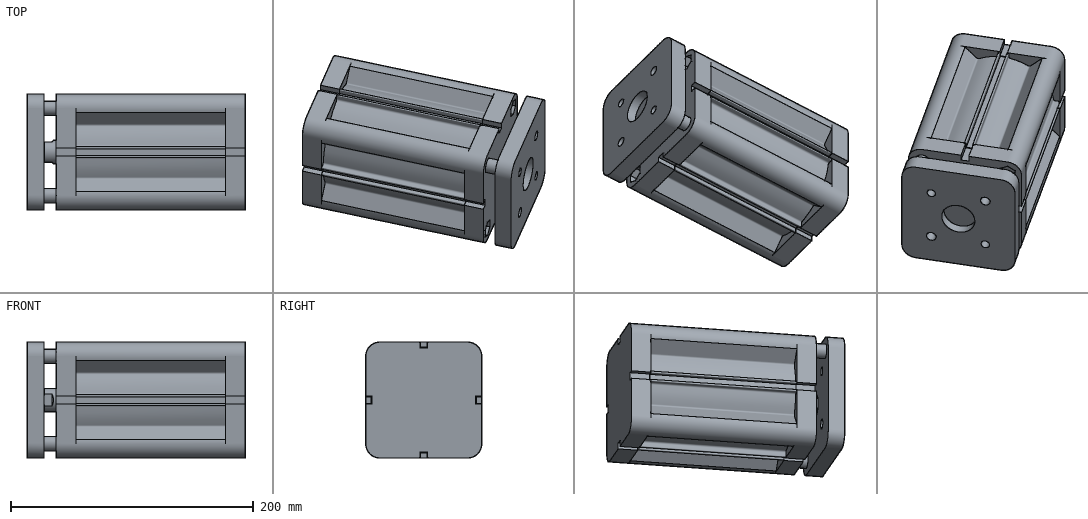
import cadquery as cq
import math

length = 180.5
plate_thickness = 14.0
gap = 10.0
cap_length = 16.5
body_start = plate_thickness + gap
tube_start = body_start + cap_length
tube_end = length - cap_length

side = 96.0
half_side = side / 2
corner_radius = 12.0
corner_offset = half_side - corner_radius

pocket_diameter = 28.0
pocket_depth = 8.1
plate_hole_offset = 23.0
large_hole_diameter = 8.1
small_hole_diameter = 7.0

guide_rod_diameter = 12.1
piston_rod_diameter = 19.5
piston_flat_width = 17.0
piston_flat_length = 6.5
piston_end_chamfer = 0.5
rod_insertion = cap_length

barrel_radius = 42.8
lug_half_width = 10.5
root_fillet = 1.6
rail_half_width = 4.5
rail_top = half_side - 0.5
rail_edge_fillet = 0.4

rail_slot_half_width = 2.7
rail_slot_floor = half_side - 4.3
cap_slot_half_width = 3.2
cap_slot_floor = half_side - 5.0

socket_flats = 13.0
socket_depth = 8.7

tolerance = 0.02

rod_corners = [(1, 1), (-1, -1)]
socket_corners = [(-1, 1), (1, -1)]


def section_at(x):
    """Sketch plane across the X axis, with local axes Y and Z."""
    return cq.Workplane("YZ", origin=(x, 0, 0))


def corner_points(corners, offset):
    return [(y_sign * offset, z_sign * offset) for y_sign, z_sign in corners]


def rounded_block(x, thickness):
    return section_at(x).rect(side, side).extrude(thickness).edges("|X").fillet(corner_radius)


def around_axis(solid):
    """Four copies of a solid, a quarter turn apart about the X axis."""
    return [solid.rotate((0, 0, 0), (1, 0, 0), 90 * turn) for turn in range(4)]


def make_plate():
    plate = rounded_block(0, plate_thickness)
    pocket = section_at(0).circle(pocket_diameter / 2).extrude(pocket_depth)
    small_holes = (
        section_at(0)
        .pushPoints(corner_points(rod_corners, plate_hole_offset))
        .circle(small_hole_diameter / 2)
        .extrude(plate_thickness)
    )
    large_holes = (
        section_at(0)
        .pushPoints(corner_points(socket_corners, plate_hole_offset))
        .circle(large_hole_diameter / 2)
        .extrude(plate_thickness)
    )
    return plate.cut(pocket).cut(small_holes).cut(large_holes)


def make_lug():
    """Diagonal rib with a round outer end that follows the cap corner."""
    arc_centre = corner_offset * math.sqrt(2)
    arc_start = arc_centre + math.sqrt(corner_radius**2 - lug_half_width**2)
    lug = (
        section_at(tube_start)
        .moveTo(0, -lug_half_width)
        .lineTo(arc_start, -lug_half_width)
        .threePointArc((arc_centre + corner_radius, 0), (arc_start, lug_half_width))
        .lineTo(0, lug_half_width)
        .close()
        .extrude(tube_end - tube_start)
    )
    return lug.rotate((0, 0, 0), (1, 0, 0), 45)


def is_root(edge):
    """True for the inner corners where the lugs and the rails meet the barrel."""
    centre = edge.Center()
    on_barrel = abs(math.hypot(centre.y, centre.z) - barrel_radius) < tolerance
    return on_barrel and min(abs(centre.y), abs(centre.z)) > tolerance


def is_rail_edge(edge):
    """True for the edges of the rail lips."""
    centre = edge.Center()
    at_rail_top = abs(max(abs(centre.y), abs(centre.z)) - rail_top) < tolerance
    return at_rail_top and min(abs(centre.y), abs(centre.z)) < rail_half_width + tolerance


def fillet_where(solid, test, radius):
    lengthwise_edges = [edge for edge in solid.edges("|X").vals() if test(edge)]
    return solid.newObject(lengthwise_edges).fillet(radius)


def upper_bar(x_start, x_end, half_width, z_bottom, z_top):
    """Bar along X between two heights, centred on Y = 0."""
    return (
        section_at(x_start)
        .center(0, (z_bottom + z_top) / 2)
        .rect(2 * half_width, z_top - z_bottom)
        .extrude(x_end - x_start)
    )


def make_tube():
    tube = section_at(tube_start).circle(barrel_radius).extrude(tube_end - tube_start)
    for lug in around_axis(make_lug()):
        tube = tube.union(lug)
    rail = upper_bar(tube_start, tube_end, rail_half_width, 0, rail_top)
    for rail_copy in around_axis(rail):
        tube = tube.union(rail_copy)
    tube = fillet_where(tube, is_root, root_fillet)

    slot = upper_bar(tube_start, tube_end, rail_slot_half_width, rail_slot_floor, half_side)
    for slot_copy in around_axis(slot):
        tube = tube.cut(slot_copy)
    tube = fillet_where(tube, is_rail_edge, rail_edge_fillet)
    return tube


def make_cap(x_start):
    cap = rounded_block(x_start, cap_length)
    slot = upper_bar(x_start, x_start + cap_length, cap_slot_half_width, cap_slot_floor, half_side)
    for slot_copy in around_axis(slot):
        cap = cap.cut(slot_copy)
    return cap


def make_hex_socket(y, z):
    """Hexagonal recess with two of its flats facing Y."""
    socket = (
        section_at(body_start)
        .polygon(6, socket_flats / math.cos(math.pi / 6))
        .extrude(socket_depth)
    )
    return socket.rotate((0, 0, 0), (1, 0, 0), 90).translate((0, y, z))


def make_housing():
    """Ribbed tube with a cap at each end, all one solid."""
    housing = make_tube().union(make_cap(body_start)).union(make_cap(tube_end))
    for y, z in corner_points(socket_corners, corner_offset):
        housing = housing.cut(make_hex_socket(y, z))
    return housing


def make_guide_rod(y, z):
    rod_length = gap + rod_insertion
    return section_at(plate_thickness).center(y, z).circle(guide_rod_diameter / 2).extrude(rod_length)


def make_piston_rod():
    rod = (
        section_at(plate_thickness)
        .circle(piston_rod_diameter / 2)
        .extrude(gap + rod_insertion)
        .faces("<X")
        .chamfer(piston_end_chamfer)
    )
    rise = (piston_rod_diameter - piston_flat_width) / 2
    flat_end = plate_thickness + piston_flat_length
    flat = (
        cq.Workplane("XY")
        .polyline([
            (plate_thickness, piston_flat_width / 2),
            (flat_end, piston_flat_width / 2),
            (flat_end + rise, piston_rod_diameter / 2),
            (plate_thickness, piston_rod_diameter / 2),
        ])
        .close()
        .extrude(piston_rod_diameter / 2, both=True)
    )
    return rod.cut(flat).cut(flat.mirror("XZ"))


plate = make_plate()
piston_rod = make_piston_rod()
guide_rods = [make_guide_rod(y, z) for y, z in corner_points(rod_corners, corner_offset)]

housing = make_housing().cut(piston_rod)
for guide_rod in guide_rods:
    housing = housing.cut(guide_rod)

result = cq.Compound.makeCompound([
    plate.val(),
    housing.val(),
    piston_rod.val(),
    *[guide_rod.val() for guide_rod in guide_rods],
])